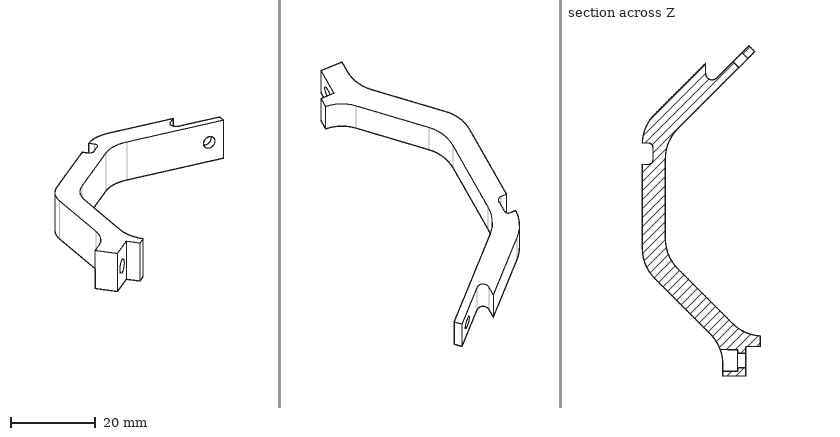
import cadquery as cq
import math

length_x = 27.88
length_y = 78.0
height = 10.0

strap_width = 5.5
bend_radius = 10.0
lower_bend_y = 26.0
upper_bend_y = 58.9
upper_arm_width = 6.3

foot_x = 19.0
foot_width = strap_width
tab_bottom_y = 7.0
tab_thickness = 2.5

groove_bottom_y = 50.0
groove_width = 5.0
groove_depth = 2.5
groove_radius = 1.0

blade_thickness = 2.0
notch_x = 15.0
notch_radius = 1.5

blade_hole_diameter = 3.0
blade_hole_from_tip = 3.8
foot_hole_y = 3.7
foot_hole_diameter = 3.4
counterbore_diameter = 5.0
counterbore_floor = 2.0

DIAGONAL = math.sqrt(2)


def rounded_outline(corners):
    """Closed wire through (x, y, radius) corners; each non-zero radius becomes a tangent arc."""
    pieces = []
    for i, (x, y, radius) in enumerate(corners):
        corner = cq.Vector(x, y)
        if radius == 0:
            pieces.append((corner,))
            continue
        before = cq.Vector(*corners[i - 1][:2])
        after = cq.Vector(*corners[(i + 1) % len(corners)][:2])
        to_before = (before - corner).normalized()
        to_after = (after - corner).normalized()
        half_angle = to_before.getAngle(to_after) / 2
        setback = radius / math.tan(half_angle)
        bisector = (to_before + to_after).normalized()
        middle = corner + bisector * (radius / math.sin(half_angle) - radius)
        pieces.append((corner + to_before * setback, middle, corner + to_after * setback))

    sketch = cq.Workplane("XY").moveTo(*pieces[0][0].toTuple()[:2])
    for i, piece in enumerate(pieces):
        if i > 0:
            sketch = sketch.lineTo(*piece[0].toTuple()[:2])
        if len(piece) > 1:
            sketch = sketch.threePointArc(piece[1].toTuple()[:2], piece[2].toTuple()[:2])
    return sketch.close()


lower_inner_y = lower_bend_y + strap_width * DIAGONAL
upper_inner_y = upper_bend_y - upper_arm_width * DIAGONAL
blade_outer_y = upper_inner_y + blade_thickness * DIAGONAL

blade_tip_x = length_y - blade_outer_y
blade_tip_drop = blade_thickness / DIAGONAL

tab_top_y = tab_bottom_y + tab_thickness
tab_corner_x = lower_inner_y - tab_top_y
tab_blank_x = tab_corner_x + bend_radius


def make_strap():
    corners = [
        (foot_x, 0, 0),
        (foot_x + foot_width, 0, 0),
        (foot_x + foot_width, tab_bottom_y, 0),
        (tab_blank_x, tab_bottom_y, 0),
        (tab_blank_x, tab_top_y, 0),
        (tab_corner_x, tab_top_y, bend_radius),
        (strap_width, lower_inner_y - strap_width, bend_radius),
        (strap_width, upper_inner_y + strap_width, bend_radius),
        (blade_tip_x + blade_tip_drop, length_y - blade_tip_drop, 0),
        (blade_tip_x, length_y, 0),
        (notch_x, blade_outer_y + notch_x, notch_radius),
        (notch_x, upper_bend_y + notch_x, 0),
        (0, upper_bend_y, bend_radius),
        (0, lower_bend_y, bend_radius),
        (foot_x, lower_bend_y - foot_x, bend_radius),
    ]
    blank = rounded_outline(corners).extrude(height)
    envelope = cq.Workplane("XY").box(length_x, length_y, height, centered=False)
    return blank.intersect(envelope)


def make_groove():
    return (
        cq.Workplane("XY")
        .rect(2 * groove_depth, groove_width)
        .extrude(height)
        .edges("|Z and >X")
        .fillet(groove_radius)
        .translate((0, groove_bottom_y + groove_width / 2, 0))
    )


def rod_along(start, direction, diameter, rod_length):
    return cq.Workplane(cq.Solid.makeCylinder(diameter / 2, rod_length, start, direction))


def make_foot_hole():
    axis = cq.Vector(1, 0, 0)
    floor_x = foot_x + foot_width - counterbore_floor
    start = cq.Vector(0, foot_hole_y, height / 2)
    bore = rod_along(start, axis, foot_hole_diameter, length_x)
    counterbore = rod_along(start, axis, counterbore_diameter, floor_x)
    return bore.union(counterbore)


def make_blade_hole():
    inward = cq.Vector(1, -1, 0).normalized()
    tip_offset = blade_hole_from_tip / DIAGONAL
    entry = cq.Vector(blade_tip_x - tip_offset, length_y - tip_offset, height / 2)
    overrun = blade_thickness
    rod_length = blade_thickness + 2 * overrun
    return rod_along(entry - inward * overrun, inward, blade_hole_diameter, rod_length)


result = make_strap().cut(make_groove()).cut(make_foot_hole()).cut(make_blade_hole())